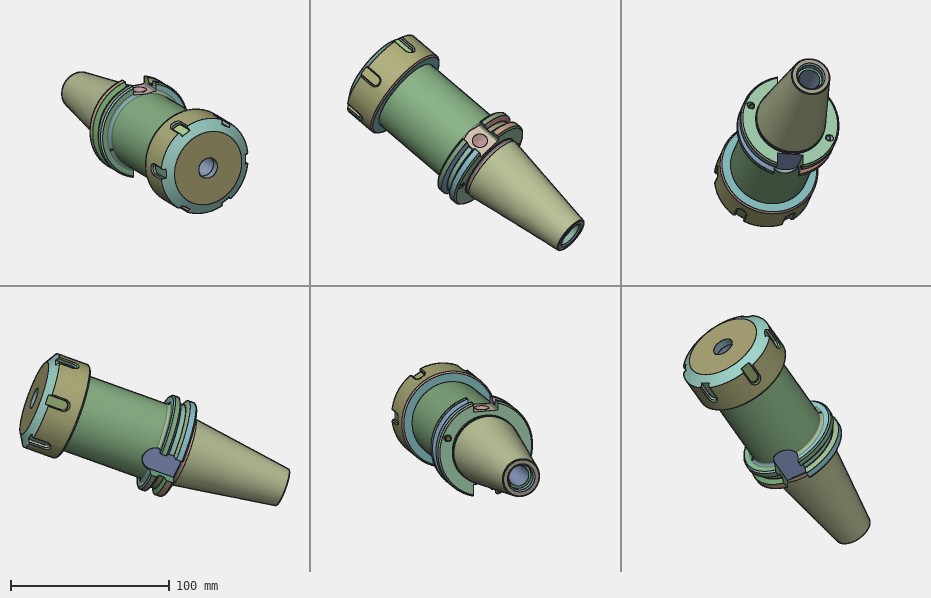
import cadquery as cq
import math

TOTAL_LENGTH = 169.8

TAPER_RATIO = 7 / 24
GAUGE_RADIUS = 22.3
TAPER_LENGTH = 68.1
TAPER_TIP_RADIUS = GAUGE_RADIUS - TAPER_LENGTH * TAPER_RATIO / 2
TIP_CHAMFER = 0.5

RELIEF_RADIUS = 43.7 / 2
RELIEF_RAMP = 1.5
RELIEF_CORNER = 0.5

FLANGE_START = 71.2
FLANGE_WIDTH = 16.0
FLANGE_END = FLANGE_START + FLANGE_WIDTH
FLANGE_RADIUS = 31.6
FLANGE_CHAMFER = 1.0
GROOVE_RADIUS = 28.0
GROOVE_FLOOR_WIDTH = 3.4
GROOVE_WALL_RADIUS = 28.5
GROOVE_OFFSET = 8.3
GROOVE_CENTER = FLANGE_START + GROOVE_OFFSET
GROOVE_FLANK_ANGLE = 30
GROOVE_FLANK = (FLANGE_RADIUS - GROOVE_WALL_RADIUS) * math.tan(math.radians(GROOVE_FLANK_ANGLE))

SHANK_RADIUS = 50.0 / 2
SHANK_FILLET = 2.0
SHANK_END = 164.8
BORE_RADIUS = 13.5 / 2
COUNTERBORE_RADIUS = 16.3 / 2
COUNTERBORE_DEPTH = 5.1
COUNTERSINK_RADIUS = 9.2

KEYWAY_WIDTH = 16.3
TOP_KEYWAY_FLOOR = 25.0
TOP_KEYWAY_FILLET = 0.8
BOTTOM_KEYWAY_FLOOR = 22.6
BOTTOM_KEYWAY_END = 95.5
DIMPLE_RADIUS = 9.5 / 2
DIMPLE_POINT_ANGLE = 118

COOLANT_ANGLE = 20
CHANNEL_TILT = 35
CHANNEL_RADIUS = 3.2 / 2
CHANNEL_CIRCLE_RADIUS = 27.0
PLUG_HOLE_RADIUS = 4.0 / 2
PLUG_HOLE_DEPTH = 1.5

OUTLET_RADIUS = 1.43 / 2
OUTLET_CIRCLE_RADIUS = 26.0
OUTLET_DEPTH = 5.1

NUT_START = 143.9
NUT_RADIUS = 63.0 / 2
NUT_CHAMFER = 1.0
NUT_CONE_START = 165.3
NUT_FACE_RADIUS = 48.5 / 2

SLOT_COUNT = 6
SLOT_WIDTH = 6.3
SLOT_START = 153.0
SLOT_FLOOR_RADIUS = 28.7
SLOT_CHAMFER = 1.0
SLOT_CHAMFER_ANGLE = 45


def revolved(profile):
    """Solid of revolution about X from an outline of (x, radius) points."""
    return cq.Workplane("XY").polyline(profile).close().revolve(360, (0, 0, 0), (1, 0, 0))


def rod(start, length, radius):
    """Cylinder on the X axis."""
    return cq.Workplane("YZ", origin=(start, 0, 0)).circle(radius).extrude(length)


def holder_blank():
    """Taper, flange and shank as one turned shape."""
    blank = revolved([
        (0, 0),
        (0, TAPER_TIP_RADIUS - TIP_CHAMFER),
        (TIP_CHAMFER, TAPER_TIP_RADIUS + TIP_CHAMFER * TAPER_RATIO / 2),
        (TAPER_LENGTH, GAUGE_RADIUS),
        (TAPER_LENGTH + RELIEF_RAMP, RELIEF_RADIUS),
        (FLANGE_START - RELIEF_CORNER, RELIEF_RADIUS),
        (FLANGE_START, RELIEF_RADIUS + RELIEF_CORNER),
        (FLANGE_START, FLANGE_RADIUS - FLANGE_CHAMFER),
        (FLANGE_START + FLANGE_CHAMFER, FLANGE_RADIUS),
        (GROOVE_CENTER - GROOVE_FLOOR_WIDTH / 2 - GROOVE_FLANK, FLANGE_RADIUS),
        (GROOVE_CENTER - GROOVE_FLOOR_WIDTH / 2, GROOVE_WALL_RADIUS),
        (GROOVE_CENTER - GROOVE_FLOOR_WIDTH / 2, GROOVE_RADIUS),
        (GROOVE_CENTER + GROOVE_FLOOR_WIDTH / 2, GROOVE_RADIUS),
        (GROOVE_CENTER + GROOVE_FLOOR_WIDTH / 2, GROOVE_WALL_RADIUS),
        (GROOVE_CENTER + GROOVE_FLOOR_WIDTH / 2 + GROOVE_FLANK, FLANGE_RADIUS),
        (FLANGE_END - FLANGE_CHAMFER, FLANGE_RADIUS),
        (FLANGE_END, FLANGE_RADIUS - FLANGE_CHAMFER),
        (FLANGE_END, SHANK_RADIUS),
        (SHANK_END, SHANK_RADIUS),
        (SHANK_END, 0),
    ])
    margin = SHANK_FILLET / 2
    reach = SHANK_RADIUS + margin
    shank_corner = cq.selectors.BoxSelector(
        (FLANGE_END - margin, -reach, -reach),
        (FLANGE_END + margin, reach, reach),
        boundingbox=True,
    )
    return blank.edges(shank_corner).fillet(SHANK_FILLET)


def holder_bore():
    """Through bore with a countersunk counterbore at the taper tip."""
    countersink_depth = COUNTERSINK_RADIUS - COUNTERBORE_RADIUS
    return revolved([
        (0, 0),
        (0, COUNTERSINK_RADIUS),
        (countersink_depth, COUNTERBORE_RADIUS),
        (COUNTERBORE_DEPTH, COUNTERBORE_RADIUS),
        (COUNTERBORE_DEPTH, BORE_RADIUS),
        (SHANK_END, BORE_RADIUS),
        (SHANK_END, 0),
    ])


def top_keyway():
    """Open slot across the flange with rounded floor corners and a drilled dimple in its floor."""
    length = SHANK_FILLET + FLANGE_WIDTH
    slot = (
        cq.Workplane("XY", origin=(FLANGE_START + length / 2, 0, TOP_KEYWAY_FLOOR))
        .rect(length, KEYWAY_WIDTH)
        .extrude(FLANGE_RADIUS)
        .edges("|X and <Z")
        .fillet(TOP_KEYWAY_FILLET)
    )
    dimple_depth = DIMPLE_RADIUS / math.tan(math.radians(DIMPLE_POINT_ANGLE / 2))
    dimple = cq.Solid.makeCone(
        DIMPLE_RADIUS, 0, dimple_depth, cq.Vector(GROOVE_CENTER, 0, TOP_KEYWAY_FLOOR), cq.Vector(0, 0, -1)
    )
    return slot.union(cq.Workplane(dimple))


def bottom_keyway():
    """Slot across the flange that runs out into the shank with a round end."""
    end_radius = KEYWAY_WIDTH / 2
    return (
        cq.Workplane("XY", origin=(0, 0, -BOTTOM_KEYWAY_FLOOR))
        .moveTo(FLANGE_START, -end_radius)
        .lineTo(BOTTOM_KEYWAY_END - end_radius, -end_radius)
        .threePointArc((BOTTOM_KEYWAY_END, 0), (BOTTOM_KEYWAY_END - end_radius, end_radius))
        .lineTo(FLANGE_START, end_radius)
        .close()
        .extrude(-FLANGE_RADIUS)
    )


def coolant_channel():
    """Slanting hole from the flange face above +Y to the bore, with a wider mouth."""
    tilt = math.radians(CHANNEL_TILT)
    mouth = cq.Vector(FLANGE_START, CHANNEL_CIRCLE_RADIUS, 0)
    direction = cq.Vector(math.cos(tilt), -math.sin(tilt), 0)
    length = CHANNEL_CIRCLE_RADIUS / math.sin(tilt)
    overshoot = PLUG_HOLE_RADIUS
    channel = cq.Solid.makeCylinder(CHANNEL_RADIUS, length, mouth, direction)
    plug_hole = cq.Solid.makeCylinder(
        PLUG_HOLE_RADIUS, PLUG_HOLE_DEPTH + overshoot, mouth - direction * overshoot, direction
    )
    return cq.Workplane(channel).union(cq.Workplane(plug_hole))


def outlet_hole():
    """Small blind hole along X in the fillet behind the flange, above +Y."""
    fillet_end = FLANGE_END + SHANK_FILLET
    return rod(fillet_end - OUTLET_DEPTH, OUTLET_DEPTH, OUTLET_RADIUS).translate((0, OUTLET_CIRCLE_RADIUS, 0))


def make_holder():
    """Tool holder whose shank fills the recess of the nut."""
    holder = holder_blank().cut(holder_bore()).cut(top_keyway()).cut(bottom_keyway())
    for turn in (COOLANT_ANGLE, COOLANT_ANGLE + 180):
        for hole in (coolant_channel(), outlet_hole()):
            holder = holder.cut(hole.rotate((0, 0, 0), (1, 0, 0), turn))
    return holder


def slot_outline(radius):
    """Round-ended slot outline lying the given distance from the axis on the -Y side."""
    half_width = SLOT_WIDTH / 2
    return (
        cq.Workplane("XZ", origin=(0, -radius, 0))
        .moveTo(TOTAL_LENGTH, -half_width)
        .lineTo(SLOT_START + half_width, -half_width)
        .threePointArc((SLOT_START, 0), (SLOT_START + half_width, half_width))
        .lineTo(TOTAL_LENGTH, half_width)
        .close()
    )


def spanner_slot():
    """Flat-floored slot open towards the nut face, with a chamfer around its mouth."""
    slot = slot_outline(SLOT_FLOOR_RADIUS).extrude(NUT_RADIUS)
    mouth = slot_outline(NUT_RADIUS - SLOT_CHAMFER).extrude(2 * SLOT_CHAMFER, taper=-SLOT_CHAMFER_ANGLE)
    return slot.union(mouth)


def make_nut():
    """Clamping nut with a recess for the shank and a ring of spanner slots."""
    nut = revolved([
        (NUT_START, SHANK_RADIUS),
        (NUT_START, NUT_RADIUS - NUT_CHAMFER),
        (NUT_START + NUT_CHAMFER, NUT_RADIUS),
        (NUT_CONE_START, NUT_RADIUS),
        (TOTAL_LENGTH, NUT_FACE_RADIUS),
        (TOTAL_LENGTH, BORE_RADIUS),
        (SHANK_END, BORE_RADIUS),
        (SHANK_END, SHANK_RADIUS),
    ])
    for index in range(SLOT_COUNT):
        nut = nut.cut(spanner_slot().rotate((0, 0, 0), (1, 0, 0), index * 360 / SLOT_COUNT))
    return nut


holder = make_holder().solids()
nut = make_nut().solids()

result = cq.Compound.makeCompound([holder.val(), nut.val()])